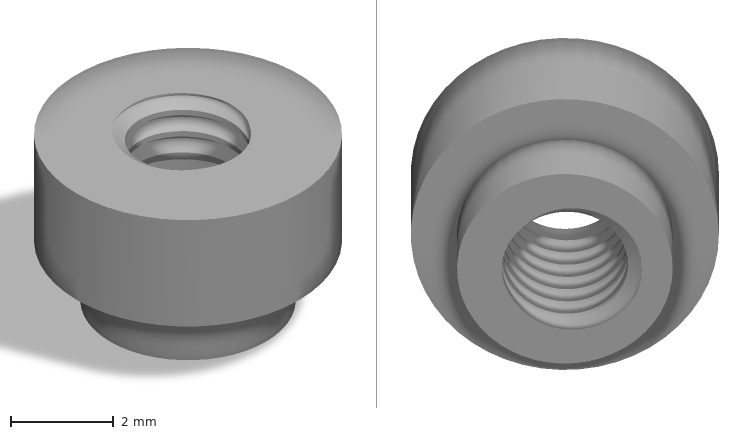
import cadquery as cq
import math

head_diameter = 6.0
head_height = 2.5
spigot_diameter = 4.2
spigot_height = 1.4
total_height = head_height + spigot_height

thread_diameter = 3.0
thread_pitch = 0.5
flank_angle = 30.0
sharp_height = thread_pitch / 2 / math.tan(math.radians(flank_angle))
minor_diameter = thread_diameter - 2 * 5 / 8 * sharp_height
groove_root_width = thread_pitch / 8

groove_angle_at_top = 219.0
bore_overlap = 0.05
overrun = 2 * thread_pitch
bore_overrun = 2 * overrun


def stepped_body():
    """Spigot standing on Z = 0 with the wider head on top of it."""
    spigot = cq.Workplane("XY").circle(spigot_diameter / 2).extrude(spigot_height)
    head = cq.Workplane("XY", origin=(0, 0, spigot_height)).circle(head_diameter / 2).extrude(head_height)
    return spigot.union(head)


def thread_groove():
    """Right-hand helical groove with a truncated V section, overrunning both end faces."""
    root_radius = thread_diameter / 2
    mouth_radius = minor_diameter / 2 - bore_overlap
    root_half = groove_root_width / 2
    mouth_half = root_half + (root_radius - mouth_radius) * math.tan(math.radians(flank_angle))

    helix = cq.Wire.makeHelix(thread_pitch, total_height + 2 * overrun, mouth_radius)
    groove = (
        cq.Workplane("XZ")
        .polyline(
            [
                (mouth_radius, -mouth_half),
                (root_radius, -root_half),
                (root_radius, root_half),
                (mouth_radius, mouth_half),
            ]
        )
        .close()
        .sweep(cq.Workplane(obj=helix), isFrenet=True)
    )

    turns_to_top = (total_height + overrun) / thread_pitch
    start_angle = groove_angle_at_top - 360 * turns_to_top
    return groove.rotate((0, 0, 0), (0, 0, 1), start_angle).translate((0, 0, -overrun))


def thread_cutter():
    """Minor-diameter bore joined with the groove, so both are removed from the body in one cut."""
    bore = (
        cq.Workplane("XY", origin=(0, 0, -bore_overrun))
        .circle(minor_diameter / 2)
        .extrude(total_height + 2 * bore_overrun)
    )
    return bore.union(thread_groove())


result = stepped_body().cut(thread_cutter())